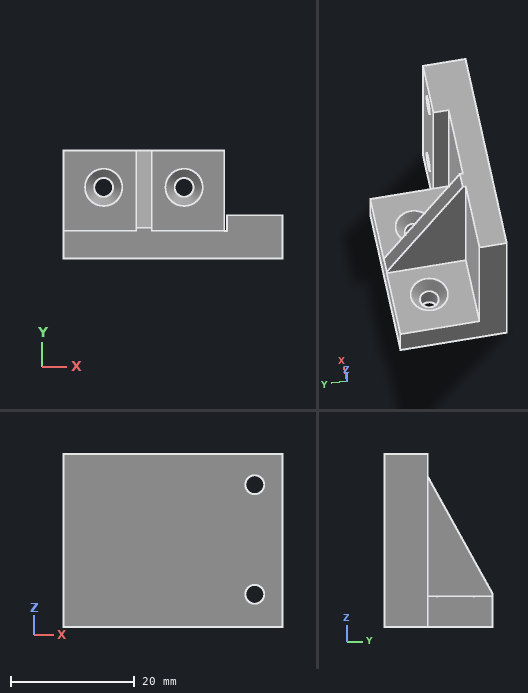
import cadquery as cq

plate_width = 35.4
plate_height = 28.0
plate_thickness = 4.5

overall_depth = 17.5
foot_width = 26.0
foot_height = 5.0

rib_thickness = 2.5
rib_top_depth = 0.5
rib_toe_height = 0.42

pad_width = 9.0
pad_thickness = 2.5

hole_diameter = 3.0
countersink_diameter = 6.02
countersink_angle = 90.0
foot_hole_y = 11.5
plate_hole_x = plate_width - pad_width / 2
lower_hole_z = 5.3
plate_hole_spacing = 17.7


def make_box(x_start, y_start, width, depth, height):
    """Block standing on Z = 0 with its near left corner at the given place."""
    return cq.Workplane("XY").box(width, depth, height, centered=False).translate((x_start, y_start, 0))


def make_rib():
    """Sloped web joining the back of the plate to the top of the foot."""
    return (
        cq.Workplane("YZ", origin=((foot_width - rib_thickness) / 2, 0, 0))
        .moveTo(plate_thickness, foot_height)
        .lineTo(overall_depth, foot_height)
        .lineTo(overall_depth, foot_height + rib_toe_height)
        .lineTo(plate_thickness + rib_top_depth, plate_height)
        .lineTo(plate_thickness, plate_height)
        .close()
        .extrude(rib_thickness)
    )


plate = make_box(0, 0, plate_width, plate_thickness, plate_height)
foot = make_box(0, plate_thickness, foot_width, overall_depth - plate_thickness, foot_height)
pad = make_box(plate_width - pad_width, plate_thickness, pad_width, pad_thickness, plate_height)
body = plate.union(foot).union(pad).union(make_rib())

foot_hole_places = [(foot_width * share, foot_hole_y) for share in (1 / 4, 3 / 4)]
body = (
    body.copyWorkplane(cq.Workplane("XY", origin=(0, 0, foot_height)))
    .pushPoints(foot_hole_places)
    .cskHole(hole_diameter, countersink_diameter, countersink_angle, depth=foot_height)
)

plate_hole_places = [(plate_hole_x, lower_hole_z), (plate_hole_x, lower_hole_z + plate_hole_spacing)]
plate_holes = (
    cq.Workplane("XZ")
    .pushPoints(plate_hole_places)
    .circle(hole_diameter / 2)
    .extrude(-(plate_thickness + pad_thickness))
)

result = body.cut(plate_holes)